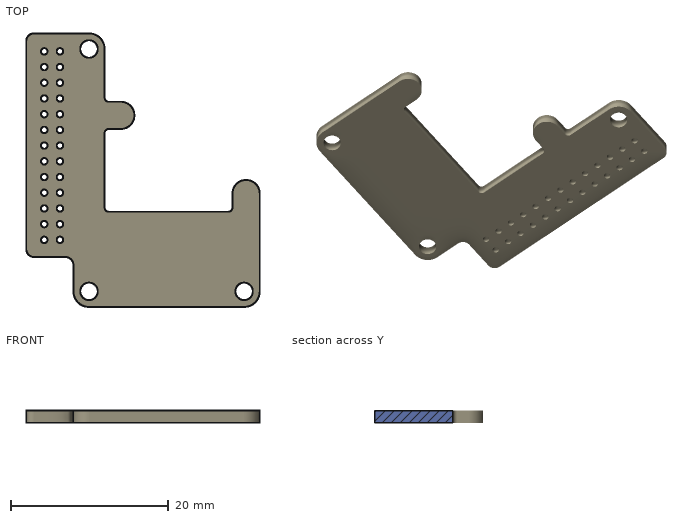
import cadquery as cq

board_length = 29.75
board_height = 34.86
thickness = 1.6

arm_width = 10.0
arm_bottom = 6.36
arm_corner_radius = 1.0

base_left = 6.0
base_top = 12.16
mount_corner_radius = 2.0

tab_width = 3.5
tab_radius = tab_width / 2
side_tab_tip = 13.8
side_tab_top = board_height - 8.7
side_tab_bottom = side_tab_top - tab_width
end_tab_tip = 16.2
end_tab_left = board_length - tab_width
inner_corner_radius = 0.5

mount_hole_diameter = 2.2
mount_hole_inset = mount_corner_radius

pin_diameter = 0.8
pin_pitch = 2.0
pin_columns = 2
pin_rows = 13
pin_edge_offset = 2.3


def make_outline():
    """Extrude the board outline with sharp corners and semicircular tabs."""
    return (
        cq.Workplane("XY")
        .moveTo(0, arm_bottom)
        .lineTo(base_left, arm_bottom)
        .lineTo(base_left, 0)
        .lineTo(board_length, 0)
        .lineTo(board_length, end_tab_tip - tab_radius)
        .threePointArc(
            (board_length - tab_radius, end_tab_tip),
            (end_tab_left, end_tab_tip - tab_radius),
        )
        .lineTo(end_tab_left, base_top)
        .lineTo(arm_width, base_top)
        .lineTo(arm_width, side_tab_bottom)
        .lineTo(side_tab_tip - tab_radius, side_tab_bottom)
        .threePointArc(
            (side_tab_tip, side_tab_bottom + tab_radius),
            (side_tab_tip - tab_radius, side_tab_top),
        )
        .lineTo(arm_width, side_tab_top)
        .lineTo(arm_width, board_height)
        .lineTo(0, board_height)
        .close()
        .extrude(thickness)
    )


def round_corners(board, corners, radius):
    """Fillet the vertical edges that stand at the given corner points."""
    for x, y in corners:
        edge = cq.selectors.NearestToPointSelector((x, y, thickness / 2))
        board = board.edges("|Z").edges(edge).fillet(radius)
    return board


def drill(board, points, diameter):
    """Cut through holes at the given points."""
    drills = cq.Workplane("XY").pushPoints(points).circle(diameter / 2).extrude(thickness)
    return board.cut(drills)


arm_corners = [(0, board_height), (0, arm_bottom), (base_left, arm_bottom)]
mount_corners = [(arm_width, board_height), (base_left, 0), (board_length, 0)]
inner_corners = [
    (arm_width, side_tab_top),
    (arm_width, side_tab_bottom),
    (arm_width, base_top),
    (end_tab_left, base_top),
]
mount_holes = [
    (arm_width - mount_hole_inset, board_height - mount_hole_inset),
    (base_left + mount_hole_inset, mount_hole_inset),
    (board_length - mount_hole_inset, mount_hole_inset),
]
pin_holes = [
    (pin_edge_offset + column * pin_pitch, board_height - pin_edge_offset - row * pin_pitch)
    for column in range(pin_columns)
    for row in range(pin_rows)
]

board = make_outline()
board = round_corners(board, arm_corners, arm_corner_radius)
board = round_corners(board, mount_corners, mount_corner_radius)
board = round_corners(board, inner_corners, inner_corner_radius)
board = drill(board, mount_holes, mount_hole_diameter)
result = drill(board, pin_holes, pin_diameter)